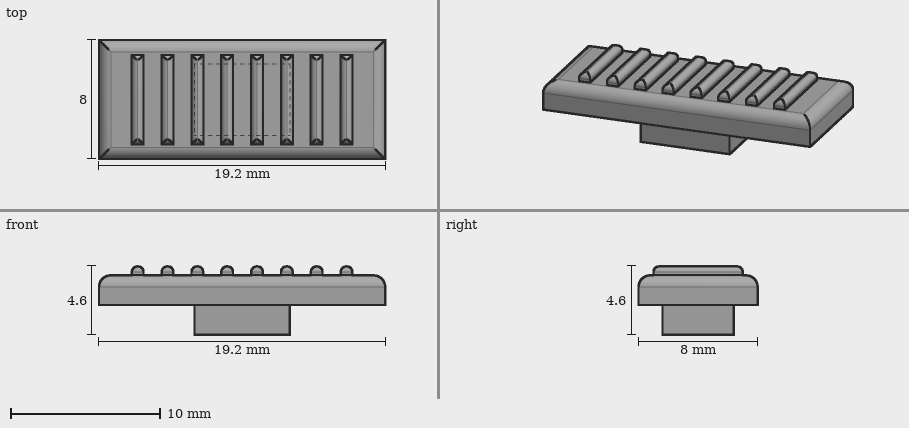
import cadquery as cq

plate_length = 19.2
plate_width = 8.0
plate_height = 2.0
rim_radius = 0.8

stem_length = 6.4
stem_width = 4.8
stem_height = 2.0

rib_count = 8
rib_pitch = 2.0
rib_thickness = 0.8
rib_length = 6.0
rib_height = 0.6
rib_crown_flat = 0.002
rib_radius = (rib_thickness - rib_crown_flat) / 2


def make_plate():
    plate = cq.Workplane("XY").box(
        plate_length, plate_width, plate_height, centered=(True, True, False)
    )
    return plate.faces(">Z").edges().fillet(rim_radius)


def make_stem():
    return cq.Workplane("XY").rect(stem_length, stem_width).extrude(-stem_height)


def make_rib(x_center):
    rib = (
        cq.Workplane("XY", origin=(x_center, 0, plate_height))
        .rect(rib_thickness, rib_length)
        .extrude(rib_height)
    )
    return rib.faces(">Z").edges().fillet(rib_radius)


result = make_plate().union(make_stem())
first_rib_x = -rib_pitch * (rib_count - 1) / 2
for index in range(rib_count):
    result = result.union(make_rib(first_rib_x + index * rib_pitch))